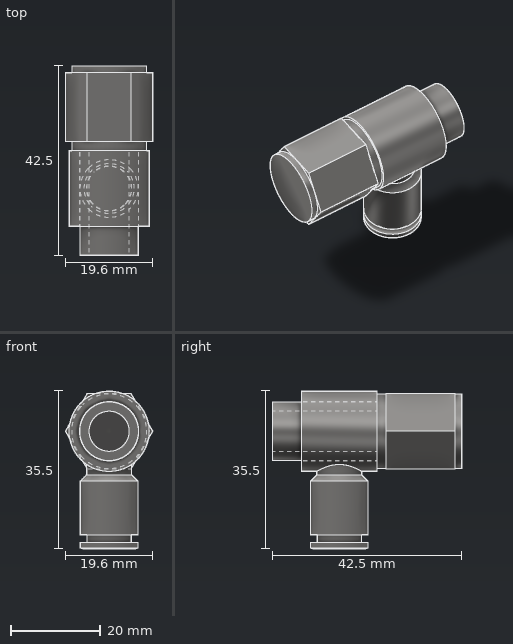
import cadquery as cq


tip_length = 6.5
shaft_diameter = 13.18
shaft_bore_diameter = 9.0
collar_length = 2.0
collar_diameter = 16.8
hex_length = 15.5
hex_across_corners = 19.65
rear_rim_length = 1.5

barrel_length = 17.0
barrel_diameter = 18.0
barrel_bore_diameter = 13.3

neck_diameter = 10.1
sleeve_diameter = 13.0
shoulder_depth = 9.78
sleeve_end_depth = 23.25
groove_diameter = 10.0
flange_top_depth = 24.95
branch_end_depth = 26.48
end_cone_height = 0.3
end_face_diameter = 11.2

barrel_start = tip_length
barrel_end = barrel_start + barrel_length
hex_start = barrel_end + collar_length
hex_end = hex_start + hex_length
branch_y = barrel_start + barrel_length / 2


def plane_at(y):
    """Plane across the main axis whose normal points to +Y."""
    return cq.Plane(origin=(0, y, 0), xDir=(1, 0, 0), normal=(0, 1, 0))


def cylinder_along_y(start, length, diameter):
    return cq.Workplane(plane_at(start)).circle(diameter / 2).extrude(length)


def make_spindle():
    """Hexagon-headed spindle whose hollow shaft passes through the elbow."""
    shaft = cylinder_along_y(0, barrel_end, shaft_diameter)
    collar = cylinder_along_y(barrel_end, collar_length, collar_diameter)
    hexagon = cq.Workplane(plane_at(hex_start)).polygon(6, hex_across_corners).extrude(hex_length)
    rear_rim = cylinder_along_y(hex_end, rear_rim_length, collar_diameter)
    blind_bore = cylinder_along_y(0, barrel_end, shaft_bore_diameter)
    return shaft.union(collar).union(hexagon).union(rear_rim).cut(blind_bore)


def make_branch():
    """Turned tube port hanging down from the barrel, starting on the main axis."""
    neck_radius = neck_diameter / 2
    sleeve_radius = sleeve_diameter / 2
    groove_radius = groove_diameter / 2
    end_face_radius = end_face_diameter / 2
    sleeve_start_depth = shoulder_depth + sleeve_radius - neck_radius
    end_cone_depth = branch_end_depth - end_cone_height
    half_profile = [
        (0, 0),
        (neck_radius, 0),
        (neck_radius, -shoulder_depth),
        (sleeve_radius, -sleeve_start_depth),
        (sleeve_radius, -sleeve_end_depth),
        (groove_radius, -sleeve_end_depth),
        (groove_radius, -flange_top_depth),
        (sleeve_radius, -flange_top_depth),
        (sleeve_radius, -end_cone_depth),
        (end_face_radius, -branch_end_depth),
        (0, -branch_end_depth),
    ]
    branch = cq.Workplane("XZ").polyline(half_profile).close().revolve(360, (0, 0), (0, 1))
    return branch.translate((0, branch_y, 0))


def make_elbow():
    """Barrel with its branch, bored through for the spindle shaft."""
    barrel = cylinder_along_y(barrel_start, barrel_length, barrel_diameter)
    bore = cylinder_along_y(barrel_start, barrel_length, barrel_bore_diameter)
    return barrel.union(make_branch()).cut(bore)


spindle = make_spindle()
elbow = make_elbow()

result = cq.Compound.makeCompound([spindle.solids().val(), elbow.solids().val()])